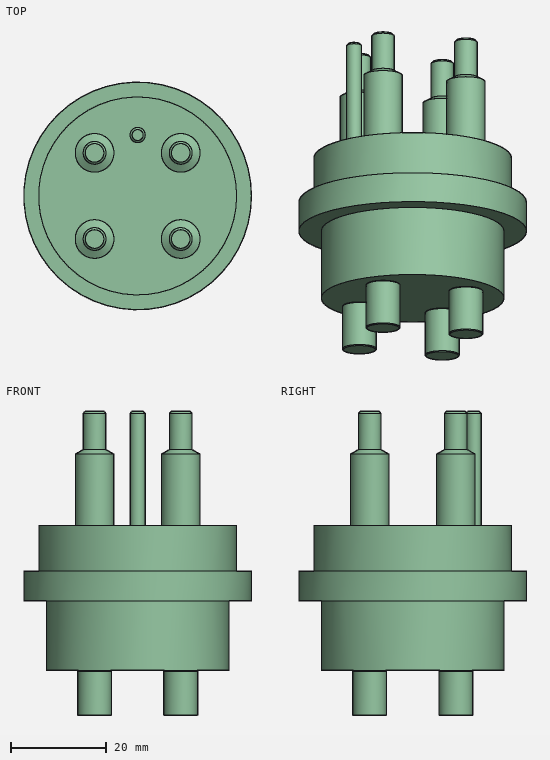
import cadquery as cq
import math

BODY_BOTTOM = 9.45
FLANGE_BOTTOM = 23.95
FLANGE_TOP = 30.15
BODY_TOP = 39.7
PIN_TOP = 63.5

LOWER_DIAMETER = 38.1
FLANGE_DIAMETER = 47.5
UPPER_DIAMETER = 41.3

PITCH_RADIUS = 12.7
PIN_OFFSET = PITCH_RADIUS * math.cos(math.radians(45))
TAIL_DIAMETER = 7.1
TAIL_CHAMFER = 0.2
SHANK_DIAMETER = 5.35
BARREL_DIAMETER = 8.05
TIP_DIAMETER = 4.75
TIP_LENGTH = 8.0
TIP_CHAMFER = 0.45
SHOULDER_ANGLE = 30.0

GUIDE_DIAMETER = 3.2
GUIDE_CHAMFER = 0.45

PIN_CENTERS = [(x, y) for x in (-PIN_OFFSET, PIN_OFFSET) for y in (-PIN_OFFSET, PIN_OFFSET)]


def cylinder(diameter, bottom, top):
    """Upright cylinder on the Z axis between two levels."""
    return cq.Workplane("XY").workplane(offset=bottom).circle(diameter / 2).extrude(top - bottom)


def make_body():
    """Flanged round body with a through hole for the shank of each contact pin."""
    body = (
        cylinder(LOWER_DIAMETER, BODY_BOTTOM, FLANGE_BOTTOM)
        .union(cylinder(FLANGE_DIAMETER, FLANGE_BOTTOM, FLANGE_TOP))
        .union(cylinder(UPPER_DIAMETER, FLANGE_TOP, BODY_TOP))
    )
    for x, y in PIN_CENTERS:
        body = body.cut(cylinder(SHANK_DIAMETER, BODY_BOTTOM, BODY_TOP).translate((x, y, 0)))
    return body


def make_contact_pin(x, y):
    """Turned pin: chamfered tail, shank inside the body, barrel, conical shoulder and tip."""
    tail_radius = TAIL_DIAMETER / 2
    shank_radius = SHANK_DIAMETER / 2
    barrel_radius = BARREL_DIAMETER / 2
    tip_radius = TIP_DIAMETER / 2
    shoulder_top = PIN_TOP - TIP_LENGTH
    shoulder_height = (barrel_radius - tip_radius) * math.tan(math.radians(SHOULDER_ANGLE))
    half_profile = [
        (0, 0),
        (tail_radius - TAIL_CHAMFER, 0),
        (tail_radius, TAIL_CHAMFER),
        (tail_radius, BODY_BOTTOM - TAIL_CHAMFER),
        (tail_radius - TAIL_CHAMFER, BODY_BOTTOM),
        (shank_radius, BODY_BOTTOM),
        (shank_radius, BODY_TOP),
        (barrel_radius, BODY_TOP),
        (barrel_radius, shoulder_top - shoulder_height),
        (tip_radius, shoulder_top),
        (tip_radius, PIN_TOP - TIP_CHAMFER),
        (tip_radius - TIP_CHAMFER, PIN_TOP),
        (0, PIN_TOP),
    ]
    pin = cq.Workplane("XZ").polyline(half_profile).close().revolve(360, (0, 0, 0), (0, 1, 0))
    return pin.translate((x, y, 0))


def make_guide_pin():
    """Plain chamfered pin standing on the top face of the body."""
    pin = cylinder(GUIDE_DIAMETER, BODY_TOP, PIN_TOP).faces(">Z").chamfer(GUIDE_CHAMFER)
    return pin.translate((0, PITCH_RADIUS, 0))


body = make_body()
contact_pins = [make_contact_pin(x, y) for x, y in PIN_CENTERS]
guide_pin = make_guide_pin()

result = cq.Compound.makeCompound([body.val(), *[pin.val() for pin in contact_pins], guide_pin.val()])